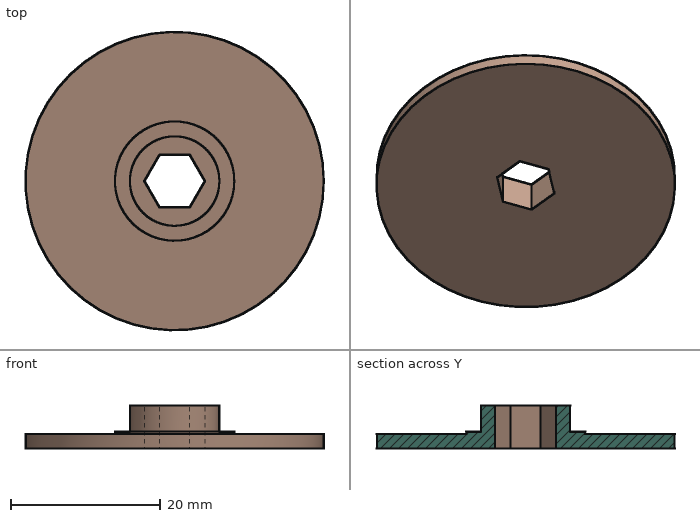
import cadquery as cq
import math

DISC_DIAMETER = 40.0
DISC_THICKNESS = 2.0
SHOULDER_DIAMETER = 16.0
SHOULDER_HEIGHT = 0.3
HUB_DIAMETER = 12.0
HUB_HEIGHT = 3.5
HEX_ACROSS_FLATS = 7.0

HEX_SIDES = 6
HEX_ACROSS_CORNERS = HEX_ACROSS_FLATS / math.cos(math.pi / HEX_SIDES)
TOTAL_HEIGHT = DISC_THICKNESS + SHOULDER_HEIGHT + HUB_HEIGHT


def cylinder(diameter, height, base_z):
    """Upright cylinder centred on the Z axis, starting at base_z."""
    return cq.Workplane("XY").workplane(offset=base_z).circle(diameter / 2).extrude(height)


def hex_bore():
    """Hexagonal through-bore with two corners on the X axis."""
    return cq.Workplane("XY").polygon(HEX_SIDES, HEX_ACROSS_CORNERS).extrude(TOTAL_HEIGHT)


disc = cylinder(DISC_DIAMETER, DISC_THICKNESS, 0)
shoulder = cylinder(SHOULDER_DIAMETER, SHOULDER_HEIGHT, DISC_THICKNESS)
hub = cylinder(HUB_DIAMETER, HUB_HEIGHT, DISC_THICKNESS + SHOULDER_HEIGHT)

result = disc.union(shoulder).union(hub).cut(hex_bore())